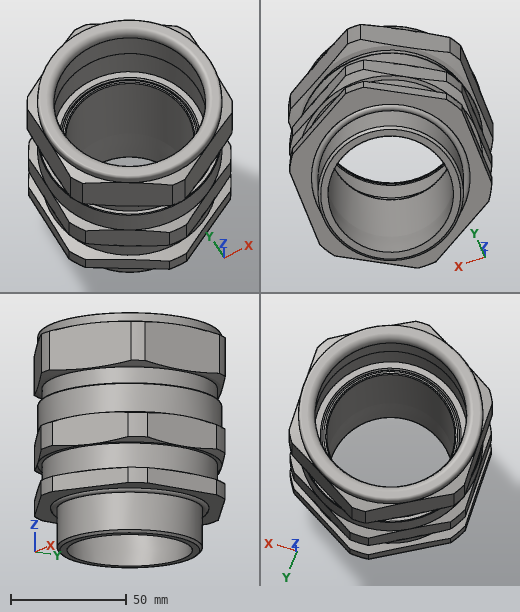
import cadquery as cq
import math


across_flats = 80.0
flat_radius = across_flats / 2
half_side_angle = 180 / 6
body_corner_radius = 43.9
cap_corner_radius = 44.5

neck_radius = 38.1
engagement = 5.7
main_bore_radius = 33.4
tube_radius = 29.9
shelf_z = 62.4

thread_radius = 31.5
thread_chamfer = 1.2
flange_bottom_z = 19.0
flange_top_z = 27.0
flange_chamfer_drop = 1.2
tube_outer_chamfer = 0.9
bore_mouth_radius = 27.2
tube_bore_radius = 27.75
tube_inner_chamfer = 0.5

ring_section_radius = 1.4
ring_center_radius = thread_radius + ring_section_radius

coupling_bottom_z = 38.2
coupling_hex_top_z = 51.8
coupling_chamfer_drop = 1.4
collar_top_z = 64.7
collar_chamfer = 0.4
shelf_chamfer = 0.7

cap_bottom_z = 72.3
cap_hex_top_z = 92.3
cap_chamfer_drop = 1.35
total_height = 96.35
cap_outer_fillet = 1.3
lip_radius = 32.9
lip_fillet = 3.1
lip_bottom_z = 92.3

entry_neck_top_z = coupling_bottom_z + engagement
coupling_neck_top_z = cap_bottom_z + engagement


def turned(profile):
    """Revolve a closed (radius, z) profile drawn on the XZ plane about the Z axis."""
    return profile.close().revolve(360, (0, 0, 0), (0, 1, 0))


def turned_points(points):
    return turned(cq.Workplane("XZ").polyline(points))


def cylinder(radius, bottom_z, top_z):
    return cq.Workplane("XY").workplane(offset=bottom_z).circle(radius).extrude(top_z - bottom_z)


def hexagon(bottom_z, top_z, corner_radius, top_seat, bottom_seat, drop):
    """Hexagon with rounded corners and conical ends.

    Each end cone falls by `drop` from its seat radius to the corner radius;
    a bottom seat of None leaves the lower end flat.
    """
    prism = (
        cq.Workplane("XY").workplane(offset=bottom_z)
        .polygon(6, across_flats / math.cos(math.radians(half_side_angle)))
        .extrude(top_z - bottom_z)
        .rotate((0, 0, 0), (0, 0, 1), half_side_angle)
    )
    if bottom_seat is None:
        lower_end = [(corner_radius, bottom_z)]
    else:
        lower_end = [(bottom_seat, bottom_z), (corner_radius, bottom_z + drop)]
    upper_end = [(corner_radius, top_z - drop), (top_seat, top_z)]
    blank = turned_points([(0, bottom_z)] + lower_end + upper_end + [(0, top_z)])
    return prism.intersect(blank)


def make_o_ring():
    return (
        cq.Workplane("XZ")
        .center(ring_center_radius, flange_bottom_z)
        .circle(ring_section_radius)
        .revolve(360, (-ring_center_radius, 0, 0), (-ring_center_radius, 1, 0))
    )


def make_entry_fitting():
    flange = hexagon(
        flange_bottom_z, flange_top_z, body_corner_radius, neck_radius, None, flange_chamfer_drop
    )
    stem = turned_points([
        (0, 0),
        (thread_radius - thread_chamfer, 0),
        (thread_radius, thread_chamfer),
        (thread_radius, flange_top_z),
        (neck_radius, flange_top_z),
        (neck_radius, entry_neck_top_z),
        (tube_radius, entry_neck_top_z),
        (tube_radius, shelf_z - tube_outer_chamfer),
        (tube_radius - tube_outer_chamfer, shelf_z),
        (0, shelf_z),
    ])
    bore = turned_points([
        (0, 0),
        (bore_mouth_radius, 0),
        (tube_bore_radius, flange_bottom_z),
        (tube_bore_radius, shelf_z - tube_inner_chamfer),
        (tube_bore_radius + tube_inner_chamfer, shelf_z),
        (0, shelf_z),
    ])
    return flange.union(stem).cut(bore).cut(make_o_ring())


def make_coupling():
    nut = hexagon(
        coupling_bottom_z, coupling_hex_top_z, body_corner_radius,
        flat_radius, flat_radius, coupling_chamfer_drop,
    )
    collar = cylinder(flat_radius, coupling_hex_top_z, collar_top_z)
    collar = collar.faces(">Z").edges().chamfer(collar_chamfer)
    neck = cylinder(neck_radius, collar_top_z, coupling_neck_top_z)
    bore = turned_points([
        (0, coupling_bottom_z),
        (neck_radius, coupling_bottom_z),
        (neck_radius, entry_neck_top_z),
        (tube_radius, entry_neck_top_z),
        (tube_radius, shelf_z - shelf_chamfer),
        (tube_radius + shelf_chamfer, shelf_z),
        (main_bore_radius, shelf_z),
        (main_bore_radius, coupling_neck_top_z),
        (0, coupling_neck_top_z),
    ])
    return nut.union(collar).union(neck).cut(bore)


def make_cap_nut():
    nut = hexagon(
        cap_bottom_z, cap_hex_top_z, cap_corner_radius, flat_radius, flat_radius, cap_chamfer_drop
    )
    rim = cylinder(flat_radius, cap_hex_top_z, total_height).faces(">Z").edges().fillet(cap_outer_fillet)
    mouth_radius = lip_radius + lip_fillet
    half_quarter_turn = math.radians(45)
    arc_mid = (
        mouth_radius - lip_fillet * math.sin(half_quarter_turn),
        total_height - lip_fillet * (1 - math.cos(half_quarter_turn)),
    )
    bore = turned(
        cq.Workplane("XZ")
        .moveTo(0, cap_bottom_z)
        .lineTo(neck_radius, cap_bottom_z)
        .lineTo(neck_radius, coupling_neck_top_z)
        .lineTo(main_bore_radius, coupling_neck_top_z)
        .lineTo(main_bore_radius, lip_bottom_z)
        .lineTo(lip_radius, lip_bottom_z)
        .lineTo(lip_radius, total_height - lip_fillet)
        .threePointArc(arc_mid, (mouth_radius, total_height))
        .lineTo(0, total_height)
    )
    return nut.union(rim).cut(bore)


o_ring = make_o_ring()
entry_fitting = make_entry_fitting()
coupling = make_coupling()
cap_nut = make_cap_nut()

result = cq.Compound.makeCompound([entry_fitting.val(), o_ring.val(), coupling.val(), cap_nut.val()])